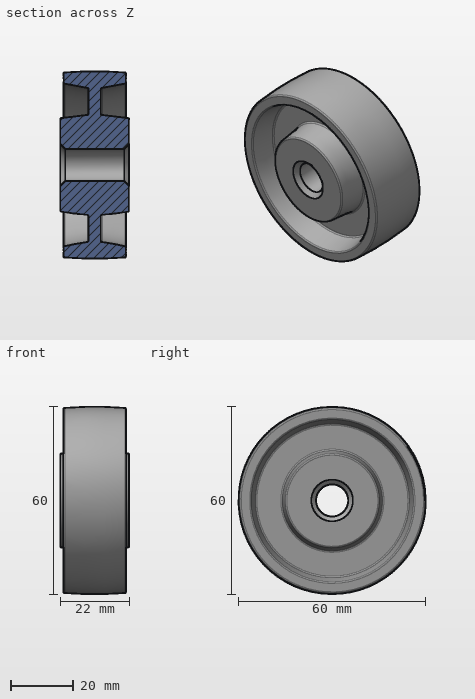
import cadquery as cq

wheel_radius = 30.0
rim_edge_radius = 29.6
rim_half_width = 10.0
hub_length = 22.0
hub_half_length = hub_length / 2
web_half_thickness = 2.0

recess_mouth_radius = 26.05
recess_floor_radius = 24.55
hub_base_radius = 16.1
hub_end_radius = 15.0

edge_fillet = 0.5
bore_radius = 5.1
bore_chamfer = 1.55


def make_wheel_body():
    """Revolve a crowned disc as wide as the rim about the X axis."""
    return (
        cq.Workplane("XY")
        .moveTo(-rim_half_width, 0)
        .lineTo(-rim_half_width, rim_edge_radius)
        .threePointArc((0, wheel_radius), (rim_half_width, rim_edge_radius))
        .lineTo(rim_half_width, 0)
        .close()
        .revolve(360, (0, 0, 0), (1, 0, 0))
    )


def make_cone(side, start, base_radius, end, end_radius):
    """Cone frustum on the X axis; side is -1 or +1."""
    return (
        cq.Workplane("XY")
        .polyline([
            (side * start, 0),
            (side * start, base_radius),
            (side * end, end_radius),
            (side * end, 0),
        ])
        .close()
        .revolve(360, (0, 0, 0), (1, 0, 0))
    )


body = make_wheel_body()
for side in (-1, 1):
    recess = make_cone(
        side, web_half_thickness, recess_floor_radius, rim_half_width, recess_mouth_radius
    )
    hub = make_cone(side, web_half_thickness, hub_base_radius, hub_half_length, hub_end_radius)
    body = body.cut(recess).union(hub)

body = body.faces("|X").edges("%CIRCLE").fillet(edge_fillet)

body = body.faces(">X").workplane(origin=(0, 0, 0)).circle(bore_radius).cutThruAll()
bore_rims = body.faces("<X or >X").edges(cq.selectors.RadiusNthSelector(0))
result = bore_rims.chamfer(bore_chamfer)